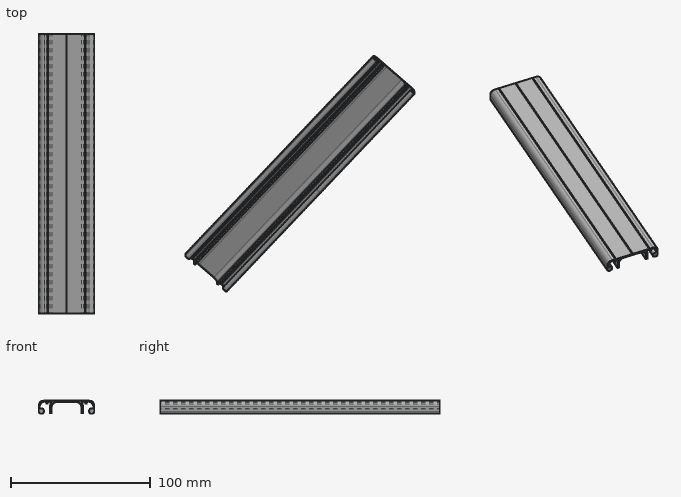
import cadquery as cq

length = 200.0
width = 40.0
height = 9.5

skin_thickness = 0.9
corner_radius = 4.0
inner_corner_radius = 3.5

plate_thickness = 1.2
leg_outer_x = 11.8
leg_thickness = 1.5
leg_bottom_z = 0.5
leg_outer_radius = 3.5
leg_inner_radius = 3.2

bead_radius = 2.0

rib_x = 14.0
rib_width = 1.2
rib_depth = 2.2
rib_root_radius = 0.8

side_groove_x = 13.3
groove_width = 0.5
groove_depth = 0.3

half_width = width / 2
half_length = length / 2
skin_inner_x = half_width - skin_thickness
skin_underside_z = height - skin_thickness
skin_middle_z = height - skin_thickness / 2
leg_inner_x = leg_outer_x - leg_thickness
bead_x = half_width - bead_radius


def extrude_along_length(profile):
    """Extrude a closed XZ profile over the full length, centred on Y = 0."""
    return profile.extrude(half_length, both=True)


def rounded_block(half_block_width, z_min, z_max, top_radius):
    """Full-length block, symmetric about X = 0, with its two top edges rounded."""
    profile = (
        cq.Workplane("XZ")
        .center(0, (z_min + z_max) / 2)
        .rect(2 * half_block_width, z_max - z_min)
    )
    return extrude_along_length(profile).edges("|Y and >Z").fillet(top_radius)


def channel():
    """Centre plate curving down into its two legs."""
    outside = rounded_block(leg_outer_x, leg_bottom_z, height, leg_outer_radius)
    inside = rounded_block(leg_inner_x, leg_bottom_z, height - plate_thickness, leg_inner_radius)
    return outside.cut(inside)


def skin():
    """Thin cover across the top with rounded edges running down to the bead centres."""
    outside = rounded_block(half_width, bead_radius, height, corner_radius)
    inside = rounded_block(skin_inner_x, bead_radius, skin_underside_z, inner_corner_radius)
    return outside.cut(inside)


def bead(side):
    """Round bead closing the lower edge of the skin on one side (-1 or 1)."""
    profile = cq.Workplane("XZ").center(side * bead_x, bead_radius).circle(bead_radius)
    return extrude_along_length(profile)


def rib(side):
    """Short rib hanging below the skin, flared by a round at each side of its root."""
    half_rib = rib_width / 2
    half_root = half_rib + rib_root_radius
    tip_z = height - rib_depth
    flare_start_z = skin_underside_z - rib_root_radius
    profile = (
        cq.Workplane("XZ")
        .center(side * rib_x, 0)
        .moveTo(-half_rib, tip_z)
        .lineTo(half_rib, tip_z)
        .lineTo(half_rib, flare_start_z)
        .radiusArc((half_root, skin_underside_z), rib_root_radius)
        .lineTo(half_root, skin_middle_z)
        .lineTo(-half_root, skin_middle_z)
        .lineTo(-half_root, skin_underside_z)
        .radiusArc((-half_rib, flare_start_z), rib_root_radius)
        .close()
    )
    return extrude_along_length(profile)


def groove(x):
    """V-shaped cutter for one groove in the top face."""
    profile = (
        cq.Workplane("XZ")
        .moveTo(x - groove_width / 2, height)
        .lineTo(x, height - groove_depth)
        .lineTo(x + groove_width / 2, height)
        .close()
    )
    return extrude_along_length(profile)


result = skin().union(channel())
for side in (-1, 1):
    result = result.union(bead(side)).union(rib(side))
for groove_x in (-side_groove_x, 0, side_groove_x):
    result = result.cut(groove(groove_x))